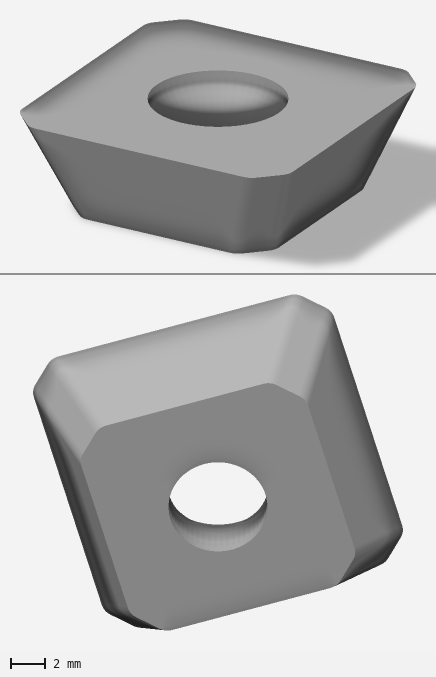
import cadquery as cq
import math

side = 18.02
thickness = 6.07
relief_angle = 20.0
corner_cut = 1.65
corner_radius = 1.03

hole_diameter = 5.7
rim_diameter = 8.1
lip_depth = 0.61
blend_width = 0.1
blend_height = 0.27
seat_depth = 3.6

inset = thickness * math.tan(math.radians(relief_angle))
half_side = side / 2


def rounded_square(half_width, height):
    """Square with blunted corners; the corners keep their size at every height."""
    width = 2 * half_width
    return (
        cq.Sketch()
        .rect(width, width)
        .vertices()
        .chamfer(corner_cut)
        .reset()
        .vertices()
        .fillet(corner_radius)
        .moved(cq.Location(cq.Vector(0, 0, height)))
    )


def make_body():
    return cq.Workplane("XY").placeSketch(
        rounded_square(half_side - inset, 0),
        rounded_square(half_side, thickness),
    ).loft(ruled=True)


def make_screw_hole():
    """Through hole with a convex seat that turns tangentially into the hole."""
    hole_radius = hole_diameter / 2
    rim_radius = rim_diameter / 2
    lip_bottom = thickness - lip_depth
    seat_top = lip_bottom - blend_height
    seat_bottom = thickness - seat_depth
    seat_run = rim_radius - blend_width - hole_radius
    seat_rise = seat_top - seat_bottom
    return (
        cq.Workplane("XZ")
        .lineTo(hole_radius, 0)
        .lineTo(hole_radius, seat_bottom)
        .tangentArcPoint((seat_run, seat_rise))
        .tangentArcPoint((blend_width, blend_height))
        .lineTo(rim_radius, thickness)
        .lineTo(0, thickness)
        .close()
        .revolve(360, (0, 0, 0), (0, 1, 0))
    )


result = make_body().cut(make_screw_hole())